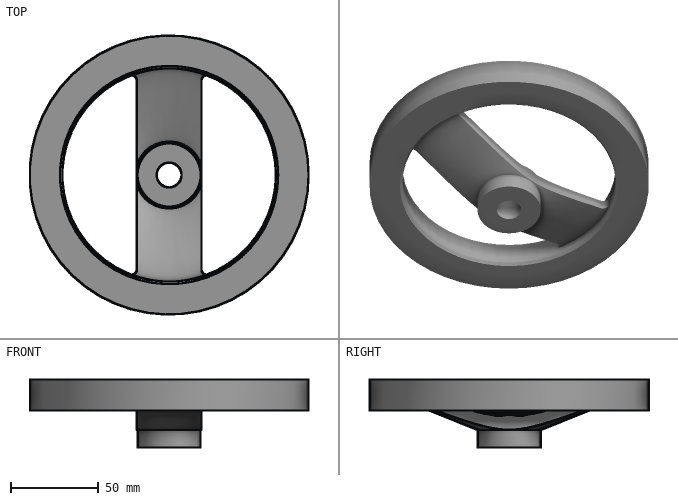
import cadquery as cq
import math

rim_radius = 80.0
rim_inner_radius = 61.1
rim_height = 18.0
rim_inner_chamfer = 1.5
total_height = 39.0
rim_bottom = total_height - rim_height

hub_radius = 18.0
hub_collar_radius = 19.2
hub_top = 20.0
hub_collar_top = 19.4
bore_radius = 7.0

spoke_width = 37.1
spoke_bottom_at_hub = 10.0
spoke_top_at_hub = 17.6
spoke_bottom_at_rim = 27.2
spoke_top_at_rim = 33.5
spoke_fillet = 2.9


def make_rim():
    chamfer_radius = rim_inner_radius + rim_inner_chamfer
    return (
        cq.Workplane("XZ")
        .moveTo(chamfer_radius, rim_bottom)
        .lineTo(rim_radius, rim_bottom)
        .lineTo(rim_radius, total_height)
        .lineTo(chamfer_radius, total_height)
        .lineTo(rim_inner_radius, total_height - rim_inner_chamfer)
        .lineTo(rim_inner_radius, rim_bottom + rim_inner_chamfer)
        .close()
        .revolve(360, (0, 0), (0, 1))
    )


def make_spokes():
    """Conical dish with a tapered hub collar, trimmed to a straight bar along Y."""
    overlap = 3.2
    outer_radius = rim_inner_radius + overlap
    hub_to_rim = rim_inner_radius - hub_radius
    bottom_slope = (spoke_bottom_at_rim - spoke_bottom_at_hub) / hub_to_rim
    top_slope = (spoke_top_at_rim - spoke_top_at_hub) / hub_to_rim
    collar_base = spoke_top_at_hub + top_slope * (hub_collar_radius - hub_radius)
    dish = (
        cq.Workplane("XZ")
        .moveTo(bore_radius, spoke_bottom_at_hub)
        .lineTo(hub_radius, spoke_bottom_at_hub)
        .lineTo(outer_radius, spoke_bottom_at_rim + bottom_slope * overlap)
        .lineTo(outer_radius, spoke_top_at_rim + top_slope * overlap)
        .lineTo(hub_collar_radius, collar_base)
        .lineTo(hub_radius, hub_collar_top)
        .lineTo(hub_radius, hub_top)
        .lineTo(bore_radius, hub_top)
        .close()
        .revolve(360, (0, 0), (0, 1))
    )
    bar = cq.Workplane("XY").box(spoke_width, 2 * rim_radius, 2 * total_height)
    return dish.intersect(bar)


def make_lower_hub():
    return cq.Workplane("XY").circle(hub_radius).circle(bore_radius).extrude(spoke_bottom_at_hub)


def round_rim_corners(wheel):
    """Fillet the upright edges where the sides of the spokes meet the rim."""
    corner_x = spoke_width / 2
    corner_y = math.sqrt(rim_inner_radius**2 - corner_x**2)
    corner_z = (spoke_bottom_at_rim + spoke_top_at_rim) / 2
    for side in (-1, 1):
        for end in (-1, 1):
            corner = (side * corner_x, end * corner_y, corner_z)
            corner_edge = cq.selectors.NearestToPointSelector(corner)
            wheel = wheel.edges("|Z").edges(corner_edge).fillet(spoke_fillet)
    return wheel


wheel = make_rim().union(make_spokes()).union(make_lower_hub())
result = round_rim_corners(wheel)